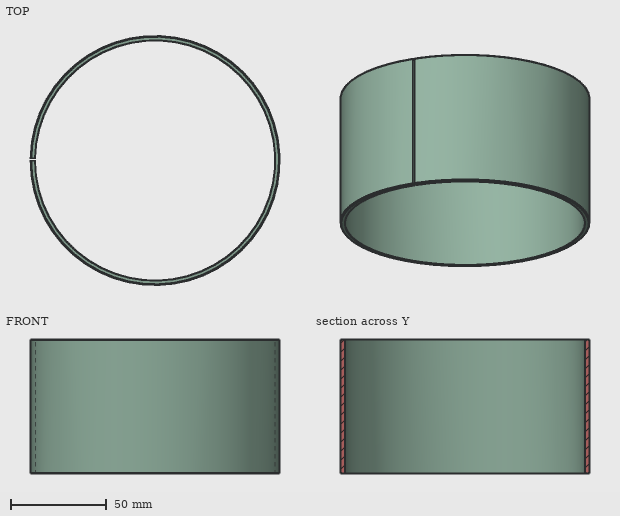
import cadquery as cq

outer_diameter = 130.0
height = 70.0
wall = 2.5
outer_chamfer = 0.5
inner_chamfer = 0.2
slit_angle = 1.0

outer_radius = outer_diameter / 2
inner_radius = outer_radius - wall

wall_section = (
    cq.Workplane("XZ")
    .moveTo(-inner_radius - inner_chamfer, 0)
    .lineTo(-outer_radius + outer_chamfer, 0)
    .lineTo(-outer_radius, outer_chamfer)
    .lineTo(-outer_radius, height - outer_chamfer)
    .lineTo(-outer_radius + outer_chamfer, height)
    .lineTo(-inner_radius - inner_chamfer, height)
    .lineTo(-inner_radius, height - inner_chamfer)
    .lineTo(-inner_radius, inner_chamfer)
    .close()
)

result = wall_section.revolve(360 - slit_angle, (0, 0, 0), (0, 1, 0))